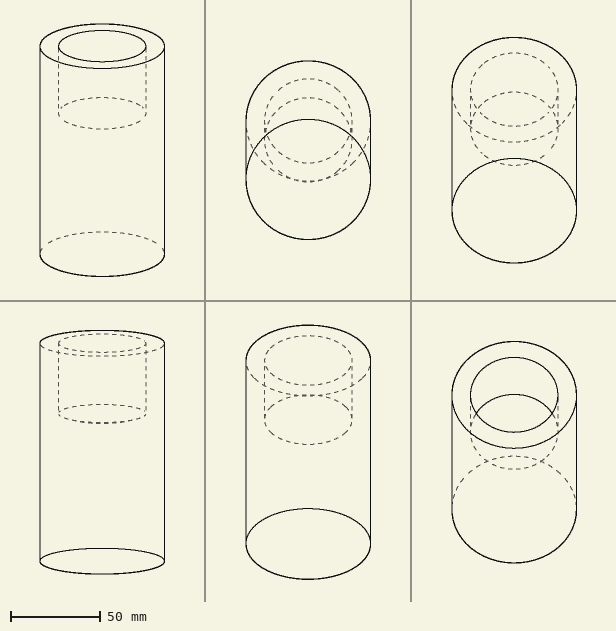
import cadquery as cq
import math

height = 125.0
outer_diameter = 70.0
bore_diameter = 49.0
dish_radius = 1.5 * bore_diameter

outer_radius = outer_diameter / 2
bore_radius = bore_diameter / 2

floor_thickness = 80.5
dish_center_height = floor_thickness + dish_radius
dish_rim_height = dish_center_height - math.sqrt(dish_radius**2 - bore_radius**2)

arc_middle_x = bore_radius / 2
arc_middle_z = dish_center_height - math.sqrt(dish_radius**2 - arc_middle_x**2)

half_section = (
    cq.Workplane("XZ")
    .lineTo(outer_radius, 0)
    .lineTo(outer_radius, height)
    .lineTo(bore_radius, height)
    .lineTo(bore_radius, dish_rim_height)
    .threePointArc((arc_middle_x, arc_middle_z), (0, floor_thickness))
    .close()
)

result = half_section.revolve(360, (0, 0, 0), (0, 1, 0))